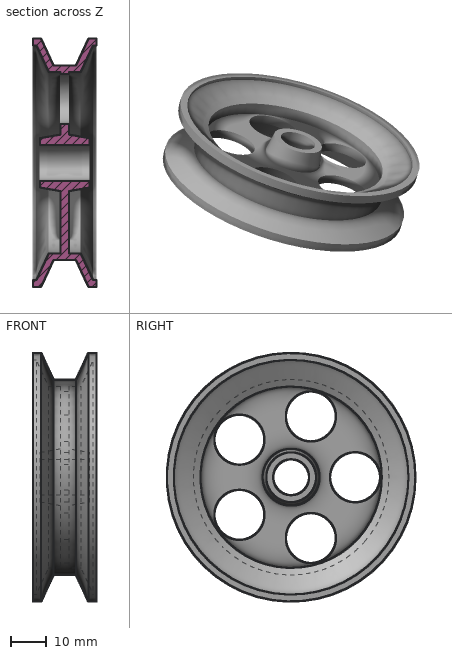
import cadquery as cq

rim_diameter = 70.0
wheel_width = 18.0
half_width = wheel_width / 2

groove_floor_diameter = 55.0
groove_floor_width = 6.3
rim_land_width = 2.4

dish_mouth_diameter = 66.0
dish_floor_diameter = 51.0
dish_lip_depth = 1.0
dish_cone_depth = half_width - rim_land_width - groove_floor_width / 2
web_thickness = 2.5

bore_diameter = 10.0
hub_tip_diameter = 14.0
hub_root_diameter = 16.0
hub_length = 14.0

hole_count = 5
hole_diameter = 14.0
hole_circle_radius = 18.0


def wheel_body():
    """Revolve the half section (axial position, radius) about the X axis."""
    half_web = web_thickness / 2
    half_hub = hub_length / 2
    cone_mouth = half_width - dish_lip_depth
    cone_floor = cone_mouth - dish_cone_depth
    right_side = [
        (half_hub, bore_diameter / 2),
        (half_hub, hub_tip_diameter / 2),
        (half_web, hub_root_diameter / 2),
        (half_web, dish_floor_diameter / 2),
        (cone_floor, dish_floor_diameter / 2),
        (cone_mouth, dish_mouth_diameter / 2),
        (half_width, dish_mouth_diameter / 2),
        (half_width, rim_diameter / 2),
        (half_width - rim_land_width, rim_diameter / 2),
        (groove_floor_width / 2, groove_floor_diameter / 2),
    ]
    left_side = [(-x, radius) for x, radius in reversed(right_side)]
    section = cq.Workplane("XY").polyline(right_side + left_side).close()
    return section.revolve(360, (0, 0, 0), (1, 0, 0))


def lightening_holes():
    """Cylinders through the web, the first one on the +Y side."""
    return (
        cq.Workplane("YZ", origin=(-web_thickness / 2, 0, 0))
        .polarArray(hole_circle_radius, 0, 360, hole_count)
        .circle(hole_diameter / 2)
        .extrude(web_thickness)
    )


result = wheel_body().cut(lightening_holes())